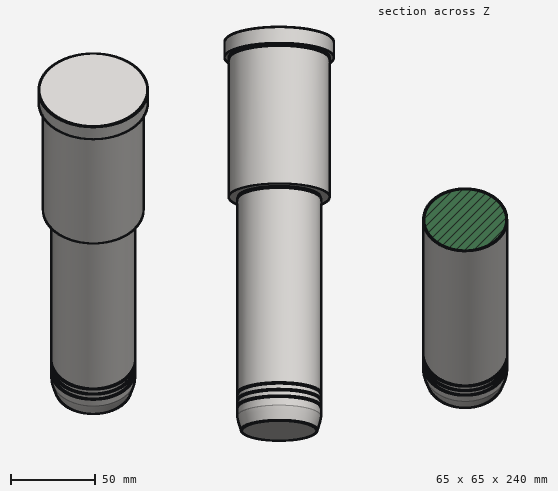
import math

import cadquery as cq

total_length = 240.0
head_length = 10.0
body_length = 86.0

head_diameter = 65.0
body_diameter = 60.0
shaft_diameter = 50.0

lead_in_length = 9.0
lead_in_angle = 15.0
lead_in_arc_radius = 60.0

edge_chamfer = 0.5

neck_width = 1.2
neck_depth = 0.5

head_groove_width = 1.2

ring_groove_count = 3
ring_groove_width = 1.0
ring_groove_pitch = 4.0
lowest_groove_height = 14.0

vee_depth = 0.5

head_radius = head_diameter / 2
body_radius = body_diameter / 2
shaft_radius = shaft_diameter / 2
neck_radius = shaft_radius - neck_depth
tip_radius = shaft_radius - lead_in_length * math.tan(math.radians(lead_in_angle))
head_bottom = total_length - head_length
body_bottom = head_bottom - body_length
neck_bottom = body_bottom - neck_width


def revolve_about_z(profile):
    """Turn a closed profile in the XZ plane once around the Z axis."""
    return profile.revolve(360, (0, 0, 0), (0, 1, 0))


def stepped_pin():
    """Pin with its tapered tip, shaft, relief neck, body and head."""
    profile = (
        cq.Workplane("XZ")
        .lineTo(tip_radius, 0)
        .radiusArc((shaft_radius, lead_in_length), -lead_in_arc_radius)
        .lineTo(shaft_radius, neck_bottom)
        .lineTo(neck_radius, neck_bottom)
        .lineTo(neck_radius, body_bottom)
        .lineTo(body_radius, body_bottom)
        .lineTo(body_radius, head_bottom)
        .lineTo(head_radius, head_bottom)
        .lineTo(head_radius, total_length)
        .lineTo(0, total_length)
        .close()
    )
    pin = revolve_about_z(profile)
    pin = pin.faces("<Z").edges().chamfer(edge_chamfer)
    return pin.faces(">Z").edges().chamfer(edge_chamfer)


def vee_groove(surface_radius, bottom, width):
    """Ring cutter for a V-groove in a round surface."""
    outer_radius = surface_radius + vee_depth
    profile = (
        cq.Workplane("XZ")
        .moveTo(surface_radius, bottom)
        .lineTo(surface_radius - vee_depth, bottom + width / 2)
        .lineTo(surface_radius, bottom + width)
        .lineTo(outer_radius, bottom + width)
        .lineTo(outer_radius, bottom)
        .close()
    )
    return revolve_about_z(profile)


result = stepped_pin()
result = result.cut(vee_groove(body_radius, head_bottom - head_groove_width, head_groove_width))

for index in range(ring_groove_count):
    groove_bottom = lowest_groove_height + index * ring_groove_pitch
    result = result.cut(vee_groove(shaft_radius, groove_bottom, ring_groove_width))